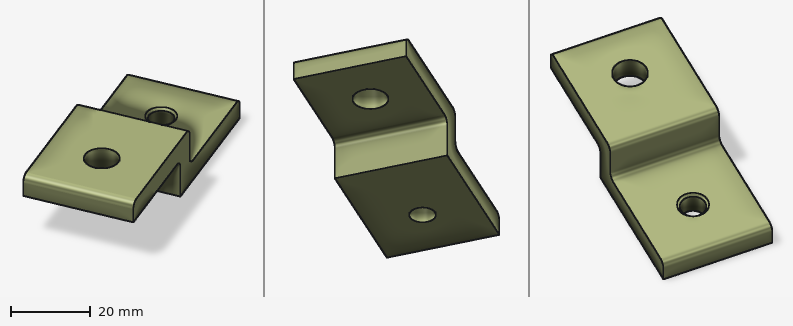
import cadquery as cq

width = 30.0
length = 68.0
height = 17.0
thickness = 6.0
lower_length = 38.0
bend_radius = 2.0

hole_inset = 15.0
clearance_diameter = 9.0
bore_diameter = 6.65
countersink_diameter = 8.0
countersink_angle = 90

back = length / 2
front = -length / 2
web_front = back - lower_length
web_back = web_front + thickness
step_underside = height - thickness


def stepped_plate():
    """Z-shaped profile in the YZ plane, extruded across the width."""
    outline = [
        (back, 0),
        (back, thickness),
        (web_back, thickness),
        (web_back, height),
        (front, height),
        (front, step_underside),
        (web_front, step_underside),
        (web_front, 0),
    ]
    return cq.Workplane("YZ").polyline(outline).close().extrude(width / 2, both=True)


def round_edge(body, y, z):
    """Round the edge running across the width at the given corner."""
    return body.edges(cq.selectors.NearestToPointSelector((0, y, z))).fillet(bend_radius)


result = stepped_plate()

rounded_corners = [
    (back, thickness),
    (web_back, thickness),
    (web_back, height),
    (front, height),
    (web_front, step_underside),
]
for corner_y, corner_z in rounded_corners:
    result = round_edge(result, corner_y, corner_z)

result = (
    result.copyWorkplane(cq.Workplane("XY", origin=(0, back - hole_inset, thickness)))
    .cskHole(bore_diameter, countersink_diameter, countersink_angle, depth=thickness)
)

result = (
    result.copyWorkplane(cq.Workplane("XY", origin=(0, front + hole_inset, height)))
    .hole(clearance_diameter, depth=thickness)
)